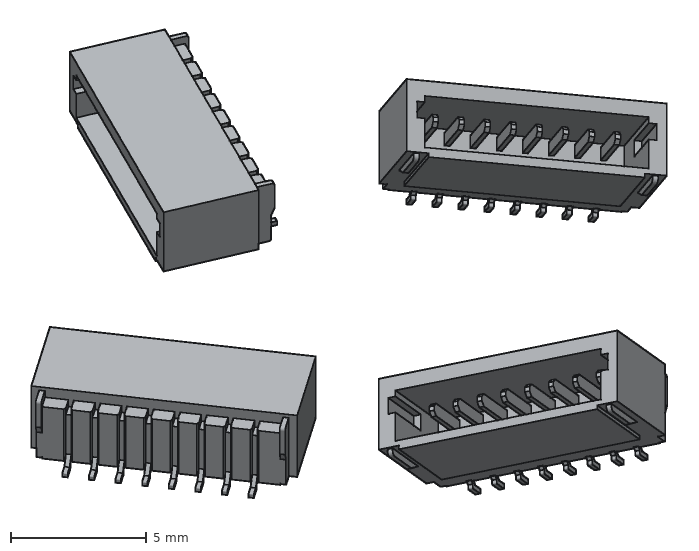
import cadquery as cq
import math


housing_width = 10.0
housing_depth = 3.75
housing_top = 3.1
housing_bottom = 0.27

cavity_width = 8.6
cavity_top = 2.5
cavity_bottom = 0.48
cavity_depth = 3.35

notch_span = 9.2
notch_top = 2.26
notch_bottom = 1.62
notch_depth = 2.0

rib_width = 8.3
rib_depth = cavity_depth
rib_bottom = 0.12

block_top = 2.65
block_rear = 4.35

pin_count = 8
pin_pitch = 1.0
pin_width = 0.2
pin_top = 2.35
pin_bottom = 1.85
pin_tip = 1.35
pin_tip_top_chamfer = 0.15
pin_tip_bottom_chamfer = 0.17
pin_rear = 4.26
pin_leg_thickness = 0.2
foot_rear = 5.0
foot_front = 4.39
foot_height = 0.2
foot_bend = 4.6
foot_inner_height = 0.17
foot_tip_radius = 0.04
foot_heel_radius = 0.06
slot_mouth_flare = 0.06

tab_width = 0.21
tab_inner_x = 4.48
tab_top = 2.99
tab_rear = 4.5
tab_neck_top = 1.8
tab_neck_bottom = 1.46
tab_rear_radius = 0.12
tab_front_radius = 0.09
tab_bottom_radius = 0.08
leg_front = 0.11
leg_nose_radius = 0.19
leg_flat_end = 1.6
leg_rear = 2.13


def box(width, y_range, z_range, x_centre=0.0):
    """Box centred on x_centre and spanning the given Y and Z ranges."""
    y_start, y_end = y_range
    z_start, z_end = z_range
    return (
        cq.Workplane("XY", origin=(x_centre, y_start, z_start))
        .box(width, y_end - y_start, z_end - z_start, centered=(True, False, False))
    )


def profile_at(x_centre, width):
    """Workplane for drawing a (Y, Z) profile that is extruded by width along +X."""
    return cq.Workplane("YZ", origin=(x_centre - width / 2, 0, 0))


def make_housing():
    shell = box(housing_width, (0, housing_depth), (housing_bottom, housing_top))
    rib = box(rib_width, (0, rib_depth), (rib_bottom, housing_bottom))
    block = box(2 * tab_inner_x, (housing_depth, block_rear), (housing_bottom, block_top))
    cavity = box(cavity_width, (0, cavity_depth), (cavity_bottom, cavity_top))
    notches = box(notch_span, (0, notch_depth), (notch_bottom, notch_top))
    return shell.union(rib).union(block).cut(cavity).cut(notches)


def make_pin_slot(x_centre):
    """Clearance above a pin, plus a flared groove down the rear face for its leg."""
    channel = box(pin_width, (housing_depth, block_rear), (pin_top, block_top), x_centre)
    half_width = pin_width / 2
    half_mouth = half_width + slot_mouth_flare
    groove = (
        cq.Workplane("XY", origin=(x_centre, 0, housing_bottom))
        .polyline([
            (-half_width, pin_rear),
            (half_width, pin_rear),
            (half_mouth, block_rear),
            (-half_mouth, block_rear),
        ])
        .close()
        .extrude(block_top - housing_bottom)
    )
    return channel.union(groove)


def make_pin(x_centre):
    """Contact blade in the cavity, vertical leg and 45 degree bend into a flat solder foot."""
    leg_front_y = pin_rear - pin_leg_thickness
    bend_top = foot_height + foot_bend - pin_rear
    bend_bottom = foot_inner_height + foot_front - leg_front_y
    outline = [
        (pin_tip, pin_top - pin_tip_top_chamfer),
        (pin_tip + pin_tip_top_chamfer, pin_top),
        (pin_rear, pin_top),
        (pin_rear, bend_top),
        (foot_bend, foot_height),
        (foot_rear, foot_height),
        (foot_rear, 0),
        (foot_front, 0),
        (foot_front, foot_inner_height),
        (leg_front_y, bend_bottom),
        (leg_front_y, pin_bottom),
        (pin_tip + pin_tip_bottom_chamfer, pin_bottom),
        (pin_tip, pin_bottom + pin_tip_bottom_chamfer),
    ]
    pin = profile_at(x_centre, pin_width).polyline(outline).close().extrude(pin_width)
    pin = pin.faces(">Y").edges("|X").fillet(foot_tip_radius)
    heel = cq.selectors.NearestToPointSelector((x_centre, foot_front, 0))
    return pin.edges(heel).fillet(foot_heel_radius)


def make_tab(x_centre):
    """Upright plate behind the housing, necked below and rounded at its corners."""
    front_top = (housing_depth + tab_front_radius, tab_top)
    rear_top = (tab_rear - tab_rear_radius, tab_top)
    rear_side = (tab_rear, tab_top - tab_rear_radius)
    neck_side = (block_rear, housing_bottom + tab_bottom_radius)
    neck_floor = (block_rear - tab_bottom_radius, housing_bottom)
    return (
        profile_at(x_centre, tab_width)
        .moveTo(housing_depth, housing_bottom)
        .lineTo(housing_depth, tab_top - tab_front_radius)
        .radiusArc(front_top, tab_front_radius)
        .lineTo(*rear_top)
        .radiusArc(rear_side, tab_rear_radius)
        .lineTo(tab_rear, tab_neck_top)
        .lineTo(block_rear, tab_neck_bottom)
        .lineTo(*neck_side)
        .radiusArc(neck_floor, tab_bottom_radius)
        .close()
        .extrude(tab_width)
    )


def make_tab_leg(x_centre):
    """Solder leg under the housing with a round nose and a sloped rear end."""
    nose_y = leg_front + leg_nose_radius
    height_above_nose_centre = housing_bottom - leg_nose_radius
    nose_top_y = nose_y - math.sqrt(leg_nose_radius**2 - height_above_nose_centre**2)
    return (
        profile_at(x_centre, tab_width)
        .moveTo(nose_y, 0)
        .threePointArc((leg_front, leg_nose_radius), (nose_top_y, housing_bottom))
        .lineTo(leg_rear, housing_bottom)
        .lineTo(leg_flat_end, 0)
        .close()
        .extrude(tab_width)
    )


result = make_housing()

first_pin_x = -pin_pitch * (pin_count - 1) / 2
for index in range(pin_count):
    pin_x = first_pin_x + index * pin_pitch
    result = result.cut(make_pin_slot(pin_x)).union(make_pin(pin_x))

tab_x = tab_inner_x + tab_width / 2
for side in (-1, 1):
    result = result.union(make_tab(side * tab_x)).union(make_tab_leg(side * tab_x))